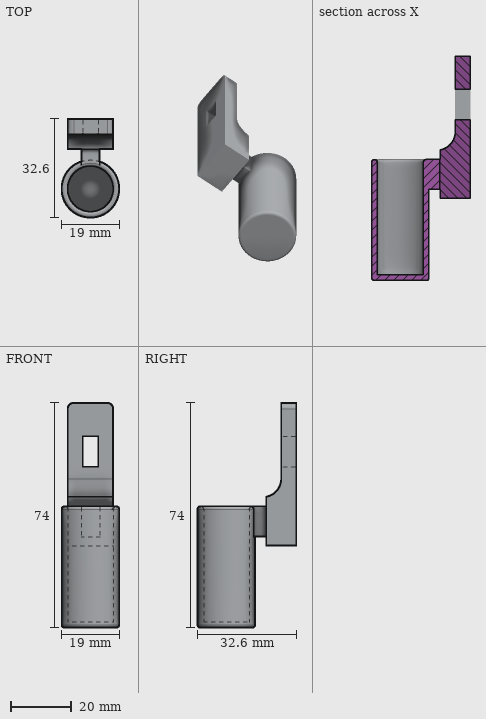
import cadquery as cq
import math

cup_diameter = 19.0
bore_diameter = 15.0
cup_height = 39.95
cup_radius = cup_diameter / 2
wall = (cup_diameter - bore_diameter) / 2
floor_thickness = wall
edge_radius = wall / 2
rim_crest_radius = cup_radius - edge_radius

tab_width = 6.0
tab_height = 10.0

overall_height = 73.95
overall_depth = 32.55
bracket_width = 15.0
bracket_bottom = 27.0
plate_thickness = 5.0
foot_depth = 10.0
corner_radius = 2.0
cove_radius = 6.0
cove_center_z = 48.95
back_y = overall_depth - cup_radius
plate_front_y = back_y - plate_thickness
foot_front_y = back_y - foot_depth

slot_width = 5.0
slot_height = 10.0
slot_bottom = 52.95


def make_cup():
    """Cup with a fully rounded rim, a rounded lower edge and the tab behind it."""
    body = cq.Workplane("XY").circle(cup_radius).extrude(cup_height - edge_radius)
    body = body.faces("<Z").edges().fillet(edge_radius)
    rim = cq.Workplane("XZ").center(rim_crest_radius, cup_height - edge_radius).circle(edge_radius)
    rim = rim.revolve(360, (-rim_crest_radius, 0, 0), (-rim_crest_radius, 1, 0))
    bore = (
        cq.Workplane("XY", origin=(0, 0, floor_thickness))
        .circle(bore_diameter / 2)
        .extrude(cup_height)
    )
    return body.cut(bore).union(rim).union(make_tab())


def make_tab():
    """Square-edged tab from the bracket to the crest of the cup rim."""
    half_width = tab_width / 2
    corner_y = math.sqrt(rim_crest_radius**2 - half_width**2)
    return (
        cq.Workplane("XY", origin=(0, 0, cup_height - tab_height))
        .moveTo(-half_width, foot_front_y)
        .lineTo(-half_width, corner_y)
        .threePointArc((0, rim_crest_radius), (half_width, corner_y))
        .lineTo(half_width, foot_front_y)
        .close()
        .extrude(tab_height)
    )


def make_bracket():
    """Slotted plate that widens to its foot through a concave cove."""
    cove_center_y = plate_front_y - cove_radius
    foot_top = cove_center_z - math.sqrt(cove_radius**2 - (foot_front_y - cove_center_y) ** 2)
    middle_angle = math.atan2(foot_top - cove_center_z, foot_front_y - cove_center_y) / 2
    cove_middle = (
        cove_center_y + cove_radius * math.cos(middle_angle),
        cove_center_z + cove_radius * math.sin(middle_angle),
    )
    bracket = (
        cq.Workplane("YZ")
        .moveTo(back_y, bracket_bottom)
        .lineTo(back_y, overall_height)
        .lineTo(plate_front_y, overall_height)
        .lineTo(plate_front_y, cove_center_z)
        .threePointArc(cove_middle, (foot_front_y, foot_top))
        .lineTo(foot_front_y, bracket_bottom)
        .close()
        .extrude(bracket_width / 2, both=True)
    )
    bracket = bracket.faces(">Z").edges("|Y").fillet(corner_radius)
    slot = cq.Workplane("XY").box(slot_width, foot_depth, slot_height, centered=(True, False, False))
    return bracket.cut(slot.translate((0, foot_front_y, slot_bottom)))


cup = make_cup()
bracket = make_bracket()
result = cq.Compound.makeCompound([cup.solids().val(), bracket.solids().val()])